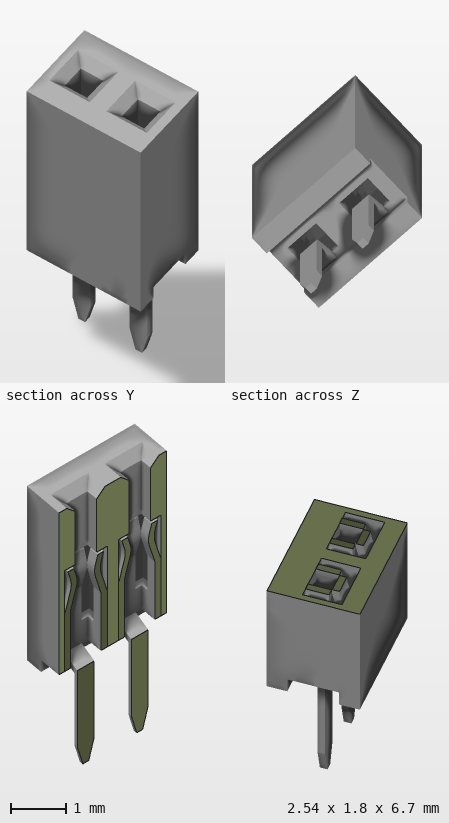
import cadquery as cq
import math


housing_width = 2.54
housing_depth = 1.8
housing_height = 4.4
recess_depth = 1.0
recess_height = 0.3

way_count = 2
pitch = housing_width / way_count
way_positions = [(i - (way_count - 1) / 2) * pitch for i in range(way_count)]

bore_side = 0.5
funnel_side = 0.9
funnel_height = (funnel_side - bore_side) / 2

sheet = 0.15
contact_half_width = recess_depth / 2
leg_inner = contact_half_width - sheet
contact_front = bore_side / 2
base_height = 0.6

finger_width = 0.4
finger_apex = 0.2
finger_lean = math.radians(15)
apex_radius = 0.6
lead_in_height = 0.37
apex_z = 2.41

chamber_clearance = 0.07
chamber_top = apex_z + lead_in_height + chamber_clearance

tail_length = 2.3
tip_width = 0.15
tip_length = 0.5
lower_bend_z = 0.02
jog_slope = math.radians(26)


def centred_box(width, depth, bottom, top, x=0.0, y=0.0):
    """Box centred on (x, y) that runs from bottom to top in Z."""
    height = top - bottom
    return cq.Workplane("XY").box(width, depth, height).translate((x, y, bottom + height / 2))


def funnel(x):
    """Tapered entry, from its wide mouth in the top face down to the bore."""
    return (
        cq.Workplane("XY", origin=(x, 0, housing_height))
        .rect(funnel_side, funnel_side)
        .workplane(offset=-funnel_height)
        .rect(bore_side, bore_side)
        .loft(ruled=True)
    )


def contact_block(bottom, top, x=0.0):
    """Solid block with the outer plan size of the folded contact."""
    depth = contact_half_width + contact_front
    middle_y = (contact_front - contact_half_width) / 2
    return centred_box(2 * contact_half_width, depth, bottom, top, x, middle_y)


def make_housing():
    """Block with a channel underneath and a funnel, bore and contact chamber for each way."""
    body = centred_box(housing_width, housing_depth, 0, housing_height)
    body = body.cut(centred_box(housing_width, recess_depth, 0, recess_height))
    for x in way_positions:
        body = body.cut(funnel(x))
        body = body.cut(centred_box(bore_side, bore_side, recess_height, housing_height, x))
        body = body.cut(contact_block(recess_height, chamber_top, x))
    return body.solids().val()


def spring_finger(start, end):
    """Finger on the -Y side of the way, from start to end in X, bulging towards the axis."""
    half_arc = apex_radius * math.sin(finger_lean)
    tangent = finger_apex + apex_radius * (1 - math.cos(finger_lean))
    lean_start_z = apex_z - half_arc - (leg_inner - tangent) / math.tan(finger_lean)
    top_z = apex_z + lead_in_height
    top = tangent + (lead_in_height - half_arc) * math.tan(finger_lean)
    return (
        cq.Workplane("YZ", origin=(start, 0, 0))
        .moveTo(-leg_inner, recess_height)
        .lineTo(-leg_inner, lean_start_z)
        .lineTo(-tangent, apex_z - half_arc)
        .threePointArc((-finger_apex, apex_z), (-tangent, apex_z + half_arc))
        .lineTo(-top, top_z)
        .lineTo(-top - sheet, top_z)
        .lineTo(-tangent - sheet, apex_z + half_arc)
        .threePointArc((-finger_apex - sheet, apex_z), (-tangent - sheet, apex_z - half_arc))
        .lineTo(-contact_half_width, lean_start_z)
        .lineTo(-contact_half_width, recess_height)
        .close()
        .extrude(end - start)
    )


def folded_base():
    """U-shaped base, open towards +Y, that joins the three fingers."""
    base_top = recess_height + base_height
    inside = centred_box(2 * leg_inner, 2 * leg_inner, recess_height, base_top)
    return contact_block(recess_height, base_top).cut(inside)


def tail():
    """Straight tail with a tapered tip, jogged over to the back leg of the contact."""
    face = sheet / 2
    sin_slope = math.sin(jog_slope)
    cos_slope = math.cos(jog_slope)
    jog_run = (leg_inner - face + sheet * sin_slope) / cos_slope
    upper_bend_z = lower_bend_z + jog_run * sin_slope + sheet * cos_slope
    join_z = recess_height + base_height
    arc_middle_angle = (math.pi / 2 + jog_slope) / 2
    arc_middle_y = sheet * math.sin(arc_middle_angle)
    arc_middle_z = sheet * math.cos(arc_middle_angle)
    side = (
        cq.Workplane("YZ")
        .moveTo(-face, -tail_length)
        .lineTo(-face, lower_bend_z)
        .lineTo(-leg_inner - sheet * sin_slope, upper_bend_z - sheet * cos_slope)
        .threePointArc(
            (-leg_inner - arc_middle_y, upper_bend_z - arc_middle_z),
            (-contact_half_width, upper_bend_z),
        )
        .lineTo(-contact_half_width, join_z)
        .lineTo(-leg_inner, join_z)
        .lineTo(-leg_inner, upper_bend_z)
        .lineTo(-face + sheet * sin_slope, lower_bend_z + sheet * cos_slope)
        .threePointArc((-face + arc_middle_y, lower_bend_z + arc_middle_z), (face, lower_bend_z))
        .lineTo(face, -tail_length)
        .close()
        .extrude(finger_width / 2, both=True)
    )
    front = (
        cq.Workplane("XZ")
        .moveTo(-tip_width / 2, -tail_length)
        .lineTo(tip_width / 2, -tail_length)
        .lineTo(finger_width / 2, tip_length - tail_length)
        .lineTo(finger_width / 2, join_z)
        .lineTo(-finger_width / 2, join_z)
        .lineTo(-finger_width / 2, tip_length - tail_length)
        .close()
        .extrude(housing_depth / 2, both=True)
    )
    return side.intersect(front)


def make_contact(x):
    """Contact with its tail, folded base and three fingers, for the way at x."""
    body = folded_base().union(tail())
    body = body.union(spring_finger(-finger_width / 2, finger_width / 2))
    right_finger = spring_finger(-finger_apex, contact_front).rotate((0, 0, 0), (0, 0, 1), 90)
    body = body.union(right_finger).union(right_finger.mirror("YZ"))
    return body.translate((x, 0, 0)).solids().val()


housing = make_housing()
contacts = [make_contact(x) for x in way_positions]

result = cq.Compound.makeCompound([housing, *contacts])